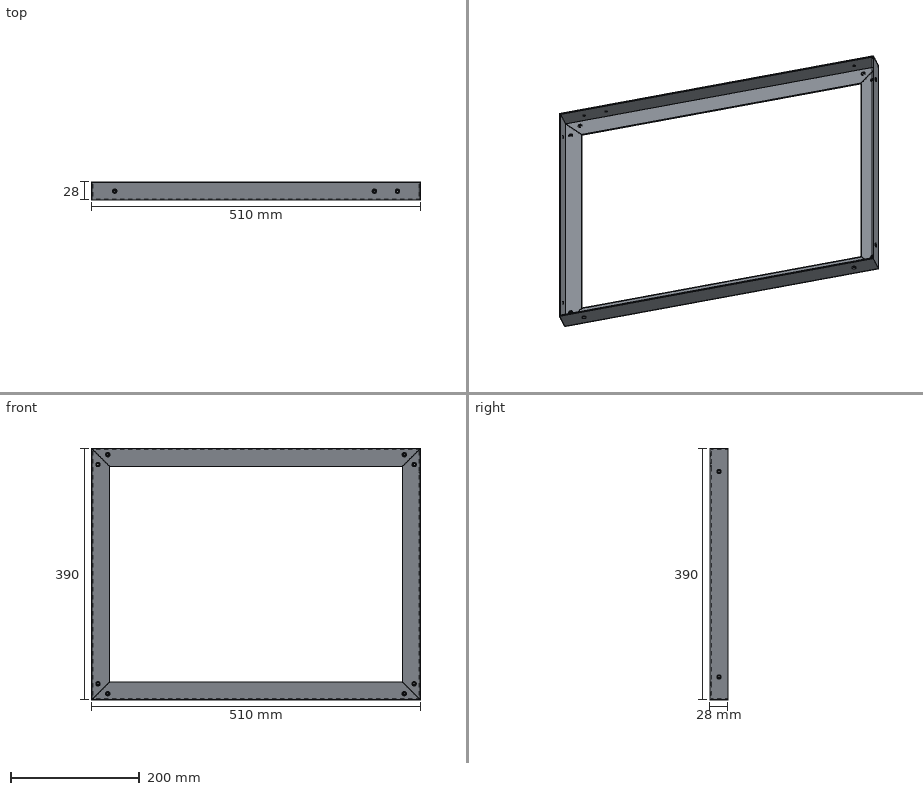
import cadquery as cq

FRAME_LENGTH = 510.0
FRAME_HEIGHT = 390.0
LEG_WIDTH = 28.0
WALL = 2.0

HOLE_DIAMETER = 3.2
COUNTERSINK_DIAMETER = 6.5
COUNTERSINK_DEPTH = (COUNTERSINK_DIAMETER - HOLE_DIAMETER) / 2
FRONT_HOLE_FROM_END = 25.0
FRONT_HOLE_FROM_EDGE = 9.5
SIDE_HOLE_FROM_END = 35.5
EXTRA_HOLE_FROM_END = 71.5


def screw_hole(point, direction):
    """Cutter for a countersunk hole that enters one leg at the point, from outside."""
    position = cq.Vector(*point)
    inward = cq.Vector(*direction)
    drill = cq.Solid.makeCylinder(HOLE_DIAMETER / 2, WALL, position, inward)
    countersink = cq.Solid.makeCone(
        COUNTERSINK_DIAMETER / 2, HOLE_DIAMETER / 2, COUNTERSINK_DEPTH, position, inward
    )
    return cq.Workplane(drill.fuse(countersink))


def angle_rail(length, side_hole_positions):
    """Mitred angle rail along X, with its outer leg at Z = 0 and its front leg at Y = 0."""
    section = [
        (0, 0),
        (LEG_WIDTH, 0),
        (LEG_WIDTH, WALL),
        (WALL, WALL),
        (WALL, LEG_WIDTH),
        (0, LEG_WIDTH),
    ]
    bar = cq.Workplane("YZ").polyline(section).close().extrude(length)

    mitred_outline = [
        (0, 0),
        (length, 0),
        (length - LEG_WIDTH, LEG_WIDTH),
        (LEG_WIDTH, LEG_WIDTH),
    ]
    mitred_block = cq.Workplane("XZ").polyline(mitred_outline).close().extrude(-LEG_WIDTH)
    rail = bar.intersect(mitred_block)

    for x in (FRONT_HOLE_FROM_END, length - FRONT_HOLE_FROM_END):
        rail = rail.cut(screw_hole((x, 0, FRONT_HOLE_FROM_EDGE), (0, 1, 0)))
    for x in side_hole_positions:
        rail = rail.cut(screw_hole((x, LEG_WIDTH / 2, 0), (0, 0, 1)))
    return rail


def end_hole_positions(length):
    """Outer-leg hole positions shared by every rail: one near each end."""
    return [SIDE_HOLE_FROM_END, length - SIDE_HOLE_FROM_END]


bottom_rail = angle_rail(FRAME_LENGTH, end_hole_positions(FRAME_LENGTH))
top_hole_positions = end_hole_positions(FRAME_LENGTH) + [FRAME_LENGTH - EXTRA_HOLE_FROM_END]
top_rail = angle_rail(FRAME_LENGTH, top_hole_positions).mirror("XY", (0, 0, FRAME_HEIGHT / 2))

upright = angle_rail(FRAME_HEIGHT, end_hole_positions(FRAME_HEIGHT))
left_rail = upright.rotate((0, 0, 0), (0, 1, 0), 90).translate((0, 0, FRAME_HEIGHT))
right_rail = left_rail.mirror("YZ", (FRAME_LENGTH / 2, 0, 0))

result = cq.Compound.makeCompound(
    [bottom_rail.val(), top_rail.val(), left_rail.val(), right_rail.val()]
)